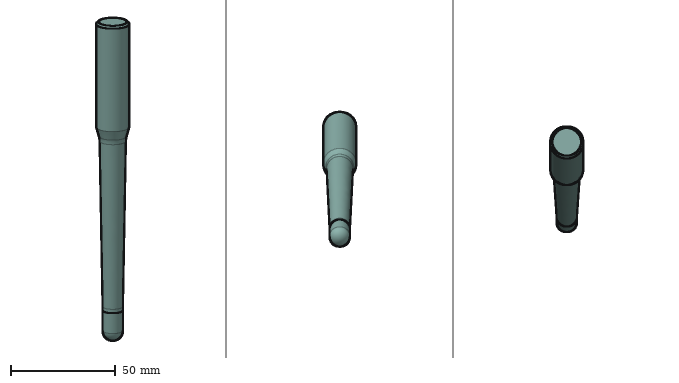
import cadquery as cq
import math

overall_length = 160.0
shank_radius = 8.0
tip_radius = 5.0

band_length = 2.0

tip_top = 15.2
taper_bottom = tip_top + band_length
taper_top = 100.2
shoulder_bottom = 102.5
shank_bottom = 107.2

taper_top_radius = 6.4
shoulder_radius = 6.7
top_chamfer = 1.1


def make_tip():
    """Cylindrical tip with a hemispherical lower end."""
    arc_offset = tip_radius * math.sqrt(0.5)
    return (
        cq.Workplane("XZ")
        .moveTo(0, 0)
        .threePointArc((arc_offset, tip_radius - arc_offset), (tip_radius, tip_radius))
        .lineTo(tip_radius, tip_top)
        .lineTo(0, tip_top)
        .close()
        .revolve(360, (0, 0), (0, 1))
    )


def make_holder():
    """Shank and tapered neck that carry the tip on a flat lower face."""
    return (
        cq.Workplane("XZ")
        .moveTo(0, tip_top)
        .lineTo(tip_radius, tip_top)
        .lineTo(tip_radius, taper_bottom)
        .lineTo(taper_top_radius, taper_top)
        .tangentArcPoint((shoulder_radius, shoulder_bottom), relative=False)
        .lineTo(shank_radius, shank_bottom)
        .lineTo(shank_radius, overall_length - top_chamfer)
        .lineTo(shank_radius - top_chamfer, overall_length)
        .lineTo(0, overall_length)
        .close()
        .revolve(360, (0, 0), (0, 1))
    )


tip = make_tip()
holder = make_holder()

result = cq.Compound.makeCompound([tip.val(), holder.val()])